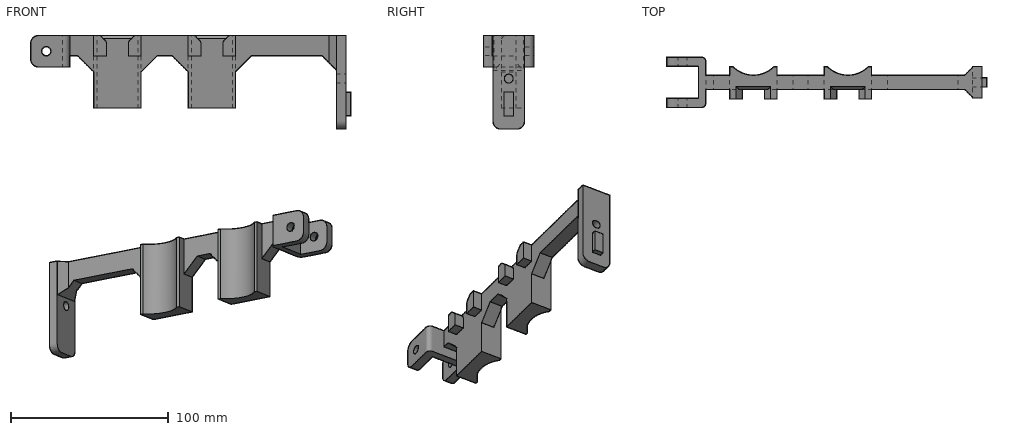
import cadquery as cq
import math

total_length = 203.0
total_height = 59.5

beam_width = 9.1
beam_depth = 13.0
gusset_size = 10.2

fork_width = 32.0
fork_height = 20.0
fork_gap = 20.0
fork_reach = 20.0
fork_web = 4.9
fork_tip_radius = 5.0
fork_heel_radius = 3.0
pivot_offset = 10.0
hole_diameter = 5.7

block_starts = (40.0, 99.9)
block_length = 30.0
block_depth = 46.0
horn_reach = 10.0
horn_tip = 2.0
post_length = 8.1
post_reach = 6.0
post_chamfer = 4.0
post_blend_radius = 3.0
lip_chamfer = 1.8

plate_thickness = 6.0
plate_width = 20.0
plate_radius = 5.0
pad_thickness = 3.0
pad_width = 6.0
pad_height = 15.0
pad_top = 36.0
plate_hole_depth = 27.5
flare_length = 4.9
end_gusset = 9.1

fork_end = fork_reach + fork_web
plate_end = total_length - pad_thickness
plate_start = plate_end - plate_thickness
beam_side = beam_width / 2


def hanging_box(x_start, x_end, y_start, y_end, depth, top=0.0):
    """Box between the given X and Y limits, hanging down from the given depth."""
    box = cq.Workplane("XY").box(x_end - x_start, y_end - y_start, depth, centered=False)
    return box.translate((x_start, y_start, -top - depth))


def side_profile(points, width):
    """Prism with an XZ outline, centred across Y."""
    return cq.Workplane("XZ").polyline(points).close().extrude(width / 2, both=True)


def make_fork():
    body = hanging_box(0, fork_end, -fork_width / 2, fork_width / 2, fork_height)
    body = body.edges("|Y and <X").fillet(fork_tip_radius)
    body = body.edges("|Z and >X").fillet(fork_heel_radius)
    slot = hanging_box(0, fork_reach, -fork_gap / 2, fork_gap / 2, fork_height)
    pivot = (
        cq.Workplane("XZ")
        .center(pivot_offset, -fork_height / 2)
        .circle(hole_diameter / 2)
        .extrude(fork_width, both=True)
    )
    return body.cut(slot).cut(pivot)


def make_block(x_start):
    """Hanging block with two posts on -Y, a round saddle on +Y and sloped braces."""
    x_end = x_start + block_length
    x_middle = x_start + block_length / 2
    brace_depth = beam_depth + gusset_size

    saddle = (
        cq.Workplane("XY")
        .moveTo(x_start, -beam_side)
        .lineTo(x_start, horn_reach)
        .lineTo(x_start + horn_tip, horn_reach)
        .threePointArc((x_middle, beam_side), (x_end - horn_tip, horn_reach))
        .lineTo(x_end, horn_reach)
        .lineTo(x_end, -beam_side)
        .close()
        .extrude(-block_depth)
    )
    braces = side_profile(
        [
            (x_start - gusset_size, -beam_depth),
            (x_start, -brace_depth),
            (x_end, -brace_depth),
            (x_end + gusset_size, -beam_depth),
        ],
        beam_width,
    )
    block = saddle.union(braces)

    post_face = -beam_side - post_reach
    for post_start in (x_start, x_end - post_length):
        post_end = post_start + post_length
        block = block.union(hanging_box(post_start, post_end, post_face, -beam_side, beam_depth))
    return block


def make_lead_in(x_start):
    """Sloped cutter that opens the top of the gap between two posts."""
    gap_start = x_start + post_length
    gap_end = x_start + block_length - post_length

    half_turn = math.radians(45 / 2)
    tangent = post_blend_radius * math.tan(half_turn)
    slope_rise = tangent / math.sqrt(2)
    arc_bottom = post_chamfer + tangent
    arc_mid_inset = post_blend_radius * (1 - math.cos(half_turn))
    arc_mid_z = post_blend_radius * math.sin(half_turn) - arc_bottom
    slope_end_z = slope_rise - post_chamfer

    gap_slopes = (
        cq.Workplane("XZ")
        .moveTo(gap_start - post_chamfer, 0)
        .lineTo(gap_start - slope_rise, slope_end_z)
        .threePointArc((gap_start - arc_mid_inset, arc_mid_z), (gap_start, -arc_bottom))
        .lineTo(gap_end, -arc_bottom)
        .threePointArc((gap_end + arc_mid_inset, arc_mid_z), (gap_end + slope_rise, slope_end_z))
        .lineTo(gap_end + post_chamfer, 0)
        .close()
        .extrude(fork_width)
    )
    lip_slope = (
        cq.Workplane("YZ")
        .polyline(
            [
                (lip_chamfer - beam_side, 0),
                (-beam_side, -lip_chamfer),
                (-beam_side, -arc_bottom),
                (-fork_width, -arc_bottom),
                (-fork_width, 0),
            ]
        )
        .close()
        .extrude(total_length)
    )
    return gap_slopes.intersect(lip_slope)


def make_end():
    half_width = plate_width / 2
    plate = hanging_box(plate_start, plate_end, -half_width, half_width, total_height)
    plate = plate.edges("|X and <Z").fillet(plate_radius)
    plate_hole = (
        cq.Workplane("YZ")
        .center(0, -plate_hole_depth)
        .circle(hole_diameter / 2)
        .extrude(total_length)
    )
    pad = hanging_box(plate_end, total_length, -pad_width / 2, pad_width / 2, pad_height, pad_top)

    flare_half_width = beam_side + flare_length
    flare_start = plate_start - flare_length
    brace_start = plate_start - end_gusset
    flare_plan = (
        cq.Workplane("XY")
        .polyline(
            [
                (brace_start, -beam_side),
                (flare_start, -beam_side),
                (plate_start, -flare_half_width),
                (plate_start, flare_half_width),
                (flare_start, beam_side),
                (brace_start, beam_side),
            ]
        )
        .close()
        .extrude(-total_height)
    )
    flare_side = side_profile(
        [
            (brace_start, 0),
            (brace_start, -beam_depth),
            (plate_start, -beam_depth - end_gusset),
            (plate_start, 0),
        ],
        plate_width,
    )
    return plate.cut(plate_hole).union(pad).union(flare_plan.intersect(flare_side))


arm = hanging_box(fork_reach, plate_start, -beam_side, beam_side, beam_depth)
arm = arm.union(make_fork()).union(make_end())
for block_start in block_starts:
    arm = arm.union(make_block(block_start)).cut(make_lead_in(block_start))

result = arm